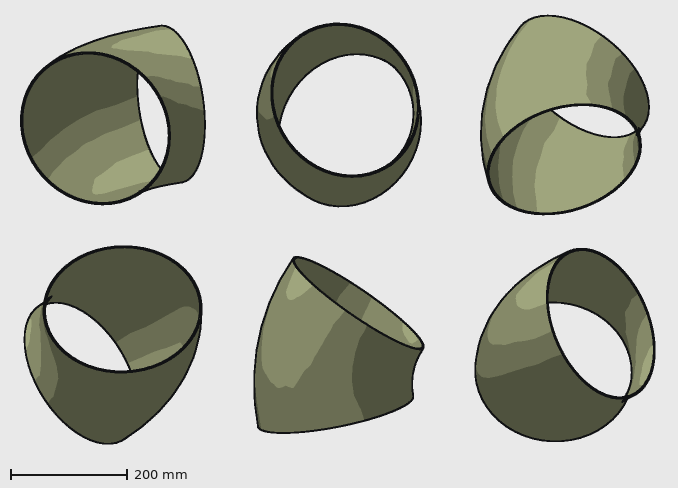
import cadquery as cq

outer_diameter = 273.0
wall = 3.0
bend_radius = 254.0
bend_angle = 45.0

outer_radius = outer_diameter / 2
inner_radius = outer_radius - wall


def bend_elbow():
    """Revolve the pipe section, centred on the origin in the XZ plane, about the bend axis."""
    section = cq.Workplane("XZ").circle(outer_radius).circle(inner_radius)
    axis_start = (bend_radius, 0)
    axis_end = (bend_radius, -1)
    return section.revolve(bend_angle, axis_start, axis_end)


result = bend_elbow()